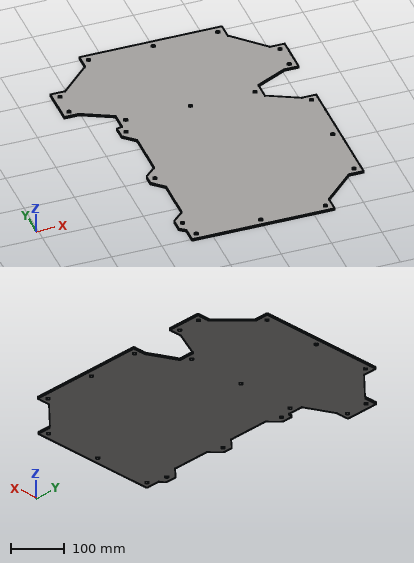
import cadquery as cq

width = 465.0
length = 610.0
thickness = 4.0
half_width = width / 2
half_length = length / 2

body_half_width = 141.5
shoulder_x = 203.0
end_corner_y = 274.0
wing_outer_y = 213.5
neck_y = 90.0
neck_half_height = 17.5
wing_gap_half_height = 47.5

tab_x = -153.0
recess_x = -130.0
upper_tab_top, upper_tab_bottom = 69.5, 44.5
middle_tab_top, middle_tab_bottom = -90.0, -111.5
lower_tab_top, lower_tab_bottom = -240.0, -265.5
tab_slope_height = 21.5

hole_diameter = 7.0
edge_inset = 14.0
body_hole_x = 128.0
tab_hole_x = -140.0
tab_hole_ys = (55.0, -100.5, -251.0)
wing_hole_x = half_width - edge_inset
end_hole_y = half_length - edge_inset
upper_wing_hole_ys = (200.5, 150.5)
lower_wing_hole_top = 30.5
lower_wing_hole_bottom = -200.0
lower_wing_hole_middle = (lower_wing_hole_top + lower_wing_hole_bottom) / 2

neck_top = neck_y + neck_half_height
neck_bottom = neck_y - neck_half_height
upper_wing_bottom = neck_y + wing_gap_half_height
lower_wing_top = neck_y - wing_gap_half_height


def upper_wing(side):
    """Outline from the top end down to the neck; side is 1 (right) or -1 (left)."""
    return [
        (side * body_half_width, half_length),
        (side * body_half_width, end_corner_y),
        (side * shoulder_x, wing_outer_y),
        (side * half_width, wing_outer_y),
        (side * half_width, upper_wing_bottom),
        (side * shoulder_x, upper_wing_bottom),
        (side * body_half_width, neck_top),
        (side * body_half_width, neck_bottom),
    ]


lower_right_wing = [
    (shoulder_x, lower_wing_top),
    (half_width, lower_wing_top),
    (half_width, -wing_outer_y),
    (shoulder_x, -wing_outer_y),
    (body_half_width, -end_corner_y),
    (body_half_width, -half_length),
]

left_tabs = [
    (-body_half_width, -half_length),
    (-body_half_width, -end_corner_y),
    (tab_x, lower_tab_bottom),
    (tab_x, lower_tab_top),
    (recess_x, lower_tab_top + tab_slope_height),
    (recess_x, middle_tab_bottom - tab_slope_height),
    (tab_x, middle_tab_bottom),
    (tab_x, middle_tab_top),
    (recess_x, middle_tab_top + tab_slope_height),
    (recess_x, upper_tab_bottom - tab_slope_height),
    (tab_x, upper_tab_bottom),
    (tab_x, upper_tab_top),
]

outline = upper_wing(1) + lower_right_wing + left_tabs + upper_wing(-1)[::-1]

body_holes = [
    (x, y)
    for x in (-body_hole_x, 0, body_hole_x)
    for y in (end_hole_y, neck_y, -end_hole_y)
]
upper_wing_holes = [(side * wing_hole_x, y) for side in (-1, 1) for y in upper_wing_hole_ys]
lower_wing_holes = [
    (wing_hole_x, y)
    for y in (lower_wing_hole_top, lower_wing_hole_middle, lower_wing_hole_bottom)
]
tab_holes = [(tab_hole_x, y) for y in tab_hole_ys]

plate = cq.Workplane("XY").polyline(outline).close().extrude(thickness)
result = (
    plate.faces(">Z")
    .workplane(origin=(0, 0, thickness))
    .pushPoints(body_holes + upper_wing_holes + lower_wing_holes + tab_holes)
    .hole(hole_diameter)
)